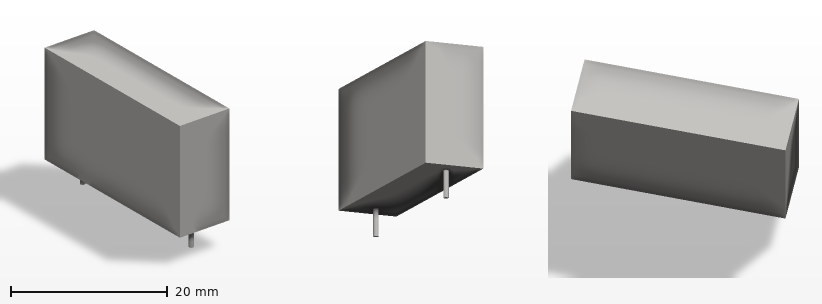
import cadquery as cq

body_length = 28.0
body_width = 8.0
total_height = 19.6
pin_length = 3.6
pin_diameter = 0.7
pin_spacing = 22.5

body_height = total_height - pin_length
pin_embed = 0.28


def make_body():
    """Plain rectangular block standing on Z = 0."""
    return cq.Workplane("XY").box(
        body_length, body_width, body_height, centered=(True, True, False)
    )


def make_pins():
    """Two round pins below the block, on its lengthwise centre line."""
    return (
        cq.Workplane("XY", origin=(0, 0, -pin_length))
        .pushPoints([(side * pin_spacing / 2, 0) for side in (-1, 1)])
        .circle(pin_diameter / 2)
        .extrude(pin_length + pin_embed)
    )


result = make_body().union(make_pins())